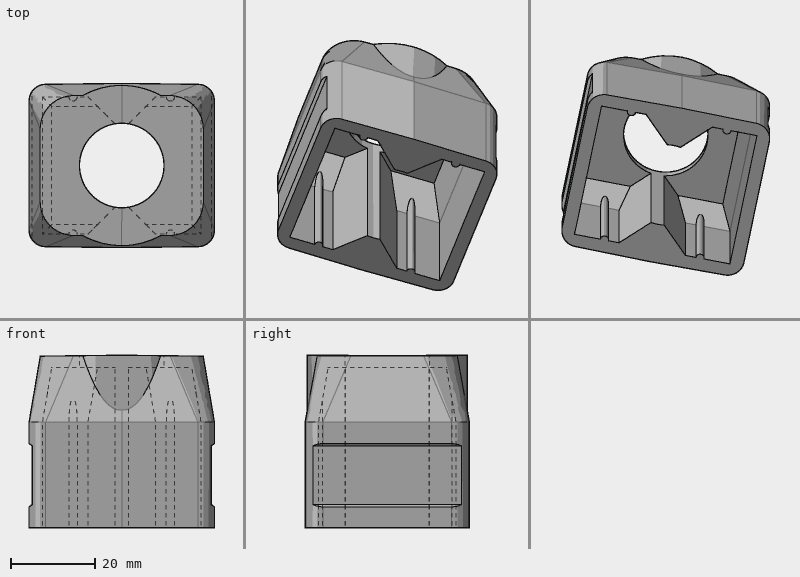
import cadquery as cq
import math

LENGTH_X = 44.0
WIDTH_Y = 39.0
HEIGHT = 41.0
FACE_SLOPE = math.radians(0.7)

BASE_HEIGHT = 25.1
BASE_CORNER_RADIUS = 4.0
CROWN_LENGTH_X = 38.6
CROWN_WIDTH_Y = 33.4
CROWN_CORNER_RADIUS = 8.0
COLLAR_RADIUS = 19.0

GROOVE_DEPTH = 0.75
GROOVE_BOTTOM = 5.0
GROOVE_TOP = 20.0
GROOVE_CHAMFER = 0.55

WALL = 3.2
ROOF = 3.0
BORE_RADIUS = 10.0

RIB_NOSE_WIDTH = 3.2
RIB_FLANK_ANGLE = math.radians(45)
BEAD_RADIUS = 1.0
BEAD_X = 11.55


def outline(length, width, radius):
    """Corner-rounded outline whose front and back are shallow vees with the ridge at X = 0."""
    half_x = length / 2
    half_y = width / 2
    arc_x = half_x - radius
    arc_y = half_y - arc_x * math.tan(FACE_SLOPE) - radius / math.cos(FACE_SLOPE)

    def on_arc(angle, x_sign, y_sign):
        return (x_sign * (arc_x + radius * math.cos(angle)), y_sign * (arc_y + radius * math.sin(angle)))

    face_end = math.pi / 2 - FACE_SLOPE
    middle = face_end / 2
    return (
        cq.Workplane("XY")
        .moveTo(0, half_y)
        .lineTo(*on_arc(face_end, 1, 1))
        .threePointArc(on_arc(middle, 1, 1), on_arc(0, 1, 1))
        .lineTo(*on_arc(0, 1, -1))
        .threePointArc(on_arc(middle, 1, -1), on_arc(face_end, 1, -1))
        .lineTo(0, -half_y)
        .lineTo(*on_arc(face_end, -1, -1))
        .threePointArc(on_arc(middle, -1, -1), on_arc(0, -1, -1))
        .lineTo(*on_arc(0, -1, 1))
        .threePointArc(on_arc(middle, -1, 1), on_arc(face_end, -1, 1))
        .close()
    )


def crown():
    """Ruled transition from the base outline to the smaller, rounder top outline."""
    lower = outline(LENGTH_X, WIDTH_Y, BASE_CORNER_RADIUS).val()
    upper = outline(CROWN_LENGTH_X, CROWN_WIDTH_Y, CROWN_CORNER_RADIUS).val()
    lower = lower.translate(cq.Vector(0, 0, BASE_HEIGHT))
    upper = upper.translate(cq.Vector(0, 0, HEIGHT))
    return cq.Workplane(cq.Solid.makeLoft([lower, upper], True))


def roof_limit():
    """Gabled block that trims the top to two planes meeting in the ridge."""
    half_x = LENGTH_X / 2
    eave = HEIGHT - half_x * math.tan(FACE_SLOPE)
    return (
        cq.Workplane("XZ")
        .polyline([(-half_x, 0), (half_x, 0), (half_x, eave), (0, HEIGHT), (-half_x, eave)])
        .close()
        .extrude(WIDTH_Y / 2, both=True)
    )


def grip_groove(side):
    """Trapezoidal groove across the end face at side * X."""
    end_x = side * LENGTH_X / 2
    floor_x = end_x - side * GROOVE_DEPTH
    return (
        cq.Workplane("XZ")
        .moveTo(end_x, GROOVE_BOTTOM)
        .lineTo(floor_x, GROOVE_BOTTOM + GROOVE_CHAMFER)
        .lineTo(floor_x, GROOVE_TOP - GROOVE_CHAMFER)
        .lineTo(end_x, GROOVE_TOP)
        .close()
        .extrude(WIDTH_Y / 2, both=True)
    )


def cavity():
    """Square-cornered hollow that follows the outer walls up to the roof."""
    inner_x = LENGTH_X - 2 * WALL
    inner_y = WIDTH_Y - 2 * WALL
    ceiling = HEIGHT - ROOF
    rise_share = (ceiling - BASE_HEIGHT) / (HEIGHT - BASE_HEIGHT)
    ceiling_x = inner_x - (LENGTH_X - CROWN_LENGTH_X) * rise_share
    ceiling_y = inner_y - (WIDTH_Y - CROWN_WIDTH_Y) * rise_share
    straight = cq.Workplane("XY").rect(inner_x, inner_y).extrude(BASE_HEIGHT)
    tapered = (
        cq.Workplane("XY", origin=(0, 0, BASE_HEIGHT))
        .rect(inner_x, inner_y)
        .workplane(offset=ceiling - BASE_HEIGHT)
        .rect(ceiling_x, ceiling_y)
        .loft(ruled=True)
    )
    return straight.union(tapered)


def wedge_rib(side):
    """Vertical rib on the wall at side * Y, narrowing toward the bore."""
    wall_y = WIDTH_Y / 2 - WALL
    nose_half = RIB_NOSE_WIDTH / 2
    nose_y = math.sqrt(BORE_RADIUS**2 - nose_half**2)
    tip_y = nose_y - nose_half / math.tan(RIB_FLANK_ANGLE)
    root_half = (wall_y - tip_y) * math.tan(RIB_FLANK_ANGLE)
    return (
        cq.Workplane("XY")
        .polyline([(0, side * tip_y), (root_half, side * wall_y), (-root_half, side * wall_y)])
        .close()
        .extrude(HEIGHT - ROOF)
    )


def beads():
    """Half-round vertical beads, two on each of the front and back walls."""
    wall_y = WIDTH_Y / 2 - WALL
    centres = [(x, y) for x in (-BEAD_X, BEAD_X) for y in (-wall_y, wall_y)]
    return cq.Workplane("XY").pushPoints(centres).circle(BEAD_RADIUS).extrude(HEIGHT - ROOF)


base = outline(LENGTH_X, WIDTH_Y, BASE_CORNER_RADIUS).extrude(BASE_HEIGHT)
collar = cq.Workplane("XY", origin=(0, 0, BASE_HEIGHT)).circle(COLLAR_RADIUS).extrude(HEIGHT - BASE_HEIGHT)
body = base.union(crown()).union(collar).intersect(roof_limit())

hollow = cavity().cut(beads())
for end in (-1, 1):
    body = body.cut(grip_groove(end))
    hollow = hollow.cut(wedge_rib(end))

bore = cq.Workplane("XY").circle(BORE_RADIUS).extrude(HEIGHT)
result = body.cut(hollow).cut(bore)